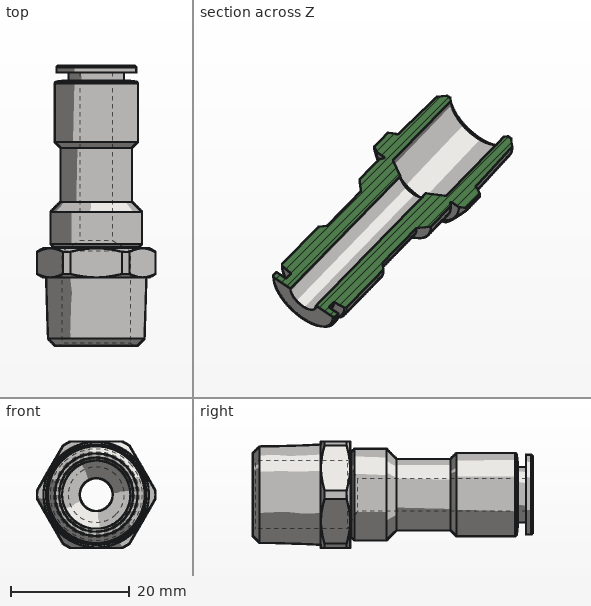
import cadquery as cq
import math

total_length = 47.3

flange_radius = 6.75
flange_thickness = 1.2
flange_chamfer = 0.3
stem_radius = 4.7

body_radius = 7.05
body_start = 2.5
body_end = 12.9
body_rear_chamfer = 0.3
body_mouth_radius = 5.0
body_rear_slope = 0.2
waist_radius = 6.05
waist_start = body_end + (body_radius - waist_radius)

collar_radius = 7.75
collar_chamfer = 0.5
collar_cone = collar_radius - waist_radius
collar_end = 30.6
waist_end = 23.0

hex_across_flats = 18.0
hex_corner_radius = 10.0
hex_face_radius = 8.9
hex_bevel_angle = 30.0
hex_start = 30.8
hex_length = 5.0
hex_end = hex_start + hex_length
hex_neck_radius = collar_radius - collar_chamfer

thread_root_radius = 8.49
thread_taper = 1 / 16
thread_chamfer = 1.2
thread_end_radius = thread_root_radius - (total_length - thread_chamfer - hex_end) * thread_taper / 2

hole_radius = 2.75
bore_radius = 5.75
bore_chamfer = 0.5
bore_depth = 16.0
bore_cone_half_angle = 60.0


def y_at(distance_from_rear):
    """Y coordinate of a station; the rear face lies at half the total length."""
    return total_length / 2 - distance_from_rear


def revolve_profile(stations):
    """Solid of revolution about Y from (radius, distance from rear) pairs."""
    points = [(radius, y_at(distance)) for radius, distance in stations]
    axis_start = (0, points[0][1])
    axis_end = (0, points[-1][1])
    profile = cq.Workplane("XY").polyline([axis_start] + points + [axis_end]).close()
    return profile.revolve(360, (0, 0, 0), (0, 1, 0))


def make_turned_body():
    """Outer turned shape from the release collar to the threaded end."""
    return revolve_profile([
        (flange_radius - flange_chamfer, 0),
        (flange_radius, flange_chamfer),
        (flange_radius, flange_thickness),
        (stem_radius, flange_thickness),
        (stem_radius, body_start),
        (body_mouth_radius, body_start),
        (body_radius - body_rear_chamfer, body_start + body_rear_slope),
        (body_radius, body_start + body_rear_slope + body_rear_chamfer),
        (body_radius, body_end),
        (waist_radius, waist_start),
        (waist_radius, waist_end),
        (collar_radius, waist_end + collar_cone),
        (collar_radius, collar_end - collar_chamfer),
        (hex_neck_radius, collar_end),
        (hex_neck_radius, hex_end),
        (thread_root_radius, hex_end),
        (thread_end_radius, total_length - thread_chamfer),
        (thread_end_radius - thread_chamfer, total_length),
    ])


def make_hexagon():
    """Hexagon with corners rounded by a cylinder and bevelled on both faces."""
    across_corners = hex_across_flats / math.cos(math.pi / 6)
    prism = (
        cq.Workplane("XZ", origin=(0, y_at(hex_start), 0))
        .polygon(6, across_corners)
        .extrude(hex_length)
    )
    bevel_length = (hex_corner_radius - hex_face_radius) * math.tan(math.radians(hex_bevel_angle))
    envelope = revolve_profile([
        (hex_face_radius, hex_start),
        (hex_corner_radius, hex_start + bevel_length),
        (hex_corner_radius, hex_end - bevel_length),
        (hex_face_radius, hex_end),
    ])
    return prism.intersect(envelope)


def make_bore():
    """Through hole, widened by a cone to the bore of the threaded end."""
    cone_length = (bore_radius - hole_radius) / math.tan(math.radians(bore_cone_half_angle))
    bore_start = total_length - bore_depth
    return revolve_profile([
        (hole_radius, 0),
        (hole_radius, bore_start - cone_length),
        (bore_radius, bore_start),
        (bore_radius, total_length - bore_chamfer),
        (bore_radius + bore_chamfer, total_length),
    ])


result = make_turned_body().union(make_hexagon()).cut(make_bore())